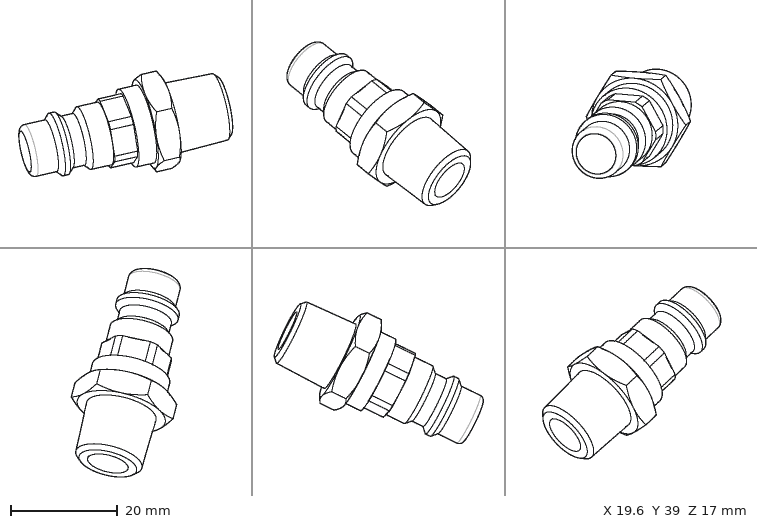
import cadquery as cq
import math

TIP_ROUND = 1.0
RIB_START = 5.0
RIB_CREST_WIDTH = 1.0
BODY_START = 11.5
SMALL_HEX_START = 15.5
COLLAR_START = 20.0
BIG_HEX_START = 23.5
THREAD_START = 28.0
GAUGE_PLANE = 33.0
LENGTH = 39.0

BORE_DIAMETER = 7.8
TIP_DIAMETER = 10.0
BODY_DIAMETER = 12.1
SMALL_HEX_FLATS = 12.4
SMALL_HEX_CORNER_DIAMETER = 13.5
COLLAR_DIAMETER = 15.0
BIG_HEX_FLATS = 17.0
HEX_SIDES = 6
FULL_TURN = 360

GAUGE_DIAMETER = 13.157
THREAD_TAPER = 1 / 16
THREAD_CHAMFER = 0.85

HEX_CHAMFER_ANGLE = math.radians(30)


def thread_radius(position):
    """Radius of the tapered thread envelope at a distance from the tip."""
    return (GAUGE_DIAMETER - THREAD_TAPER * (position - GAUGE_PLANE)) / 2


def revolve_about_y(profile):
    """Turn a closed (radius, distance) profile about the part axis."""
    return profile.close().revolve(FULL_TURN, (0, 0, 0), (0, 1, 0))


def cylinder(diameter, start, end):
    """Solid cylinder along the part axis."""
    return cq.Workplane("XZ", origin=(0, start, 0)).circle(diameter / 2).extrude(start - end)


def hex_prism(flats, start, end):
    """Hexagonal prism along Y with two corners on the X axis."""
    corner_diameter = flats / math.cos(math.pi / HEX_SIDES)
    return (
        cq.Workplane("XZ", origin=(0, start, 0))
        .polygon(HEX_SIDES, corner_diameter)
        .extrude(start - end)
    )


def make_plug():
    """Plug end: rounded tip, locking rib, neck and body."""
    tip_radius = TIP_DIAMETER / 2
    body_radius = BODY_DIAMETER / 2
    slope_length = body_radius - tip_radius
    crest_start = RIB_START + slope_length
    crest_end = crest_start + RIB_CREST_WIDTH
    rib_end = crest_end + slope_length
    neck_end = BODY_START - slope_length
    round_mid = TIP_ROUND * (1 - math.sqrt(0.5))
    profile = (
        cq.Workplane("XY")
        .lineTo(tip_radius - TIP_ROUND, 0)
        .threePointArc((tip_radius - round_mid, round_mid), (tip_radius, TIP_ROUND))
        .lineTo(tip_radius, RIB_START)
        .lineTo(body_radius, crest_start)
        .lineTo(body_radius, crest_end)
        .lineTo(tip_radius, rib_end)
        .lineTo(tip_radius, neck_end)
        .lineTo(body_radius, BODY_START)
        .lineTo(body_radius, SMALL_HEX_START)
        .lineTo(0, SMALL_HEX_START)
    )
    return revolve_about_y(profile)


def make_small_hex():
    """Small hexagon with its corners turned down to a cylinder."""
    prism = hex_prism(SMALL_HEX_FLATS, SMALL_HEX_START, COLLAR_START)
    return prism.intersect(cylinder(SMALL_HEX_CORNER_DIAMETER, SMALL_HEX_START, COLLAR_START))


def make_big_hex():
    """Wrench hexagon with conically chamfered corners on both faces."""
    face_radius = BIG_HEX_FLATS / 2
    middle = (BIG_HEX_START + THREAD_START) / 2
    apex_radius = face_radius + (THREAD_START - middle) / math.tan(HEX_CHAMFER_ANGLE)
    chamfer_cones = revolve_about_y(
        cq.Workplane("XY")
        .moveTo(0, BIG_HEX_START)
        .lineTo(face_radius, BIG_HEX_START)
        .lineTo(apex_radius, middle)
        .lineTo(face_radius, THREAD_START)
        .lineTo(0, THREAD_START)
    )
    return hex_prism(BIG_HEX_FLATS, BIG_HEX_START, THREAD_START).intersect(chamfer_cones)


def make_thread():
    """Tapered thread envelope, chamfered at its end."""
    chamfer_start = LENGTH - THREAD_CHAMFER
    chamfer_radius = thread_radius(chamfer_start)
    profile = (
        cq.Workplane("XY")
        .moveTo(0, THREAD_START)
        .lineTo(thread_radius(THREAD_START), THREAD_START)
        .lineTo(chamfer_radius, chamfer_start)
        .lineTo(chamfer_radius - THREAD_CHAMFER, LENGTH)
        .lineTo(0, LENGTH)
    )
    return revolve_about_y(profile)


body = (
    make_plug()
    .union(make_small_hex())
    .union(cylinder(COLLAR_DIAMETER, COLLAR_START, BIG_HEX_START))
    .union(make_big_hex())
    .union(make_thread())
)
bore = cylinder(BORE_DIAMETER, 0, LENGTH)
result = body.cut(bore).translate((0, -LENGTH / 2, 0))